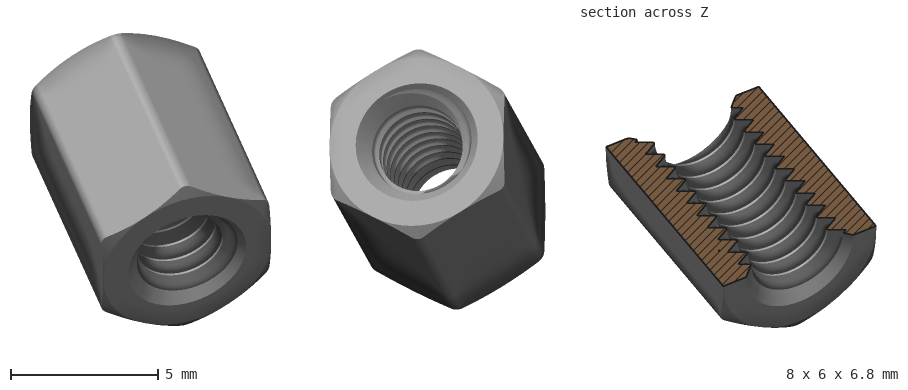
import cadquery as cq
import math

length = 8.0
across_flats = 6.0
corner_radius = 0.4
end_chamfer_angle = 30.0

thread_root_radius = 2.0
pitch_to_radius = 0.35
thread_pitch = pitch_to_radius * thread_root_radius
flank_angle = 30.0
crest_flat = thread_pitch / 8
thread_depth = (thread_pitch - crest_flat) / 2 / math.tan(math.radians(flank_angle))
bore_radius = thread_root_radius - thread_depth
countersink_radius = 2.1
hole_seam_angle = 50.0
cutter_overlap = 0.02


def make_body():
    """Hexagonal bar with rounded long edges and conically chamfered ends."""
    across_corners = across_flats / math.cos(math.radians(30))
    bar = (
        cq.Workplane("YZ")
        .polygon(6, across_corners)
        .extrude(length)
        .edges("|X")
        .fillet(corner_radius)
        .rotate((0, 0, 0), (1, 0, 0), 90)
    )
    flat_radius = across_flats / 2
    outer_radius = across_corners / 2
    chamfer_length = (outer_radius - flat_radius) * math.tan(math.radians(end_chamfer_angle))
    envelope = (
        cq.Workplane("XY")
        .moveTo(0, 0)
        .lineTo(0, flat_radius)
        .lineTo(chamfer_length, outer_radius)
        .lineTo(length - chamfer_length, outer_radius)
        .lineTo(length, flat_radius)
        .lineTo(length, 0)
        .close()
        .revolve(360, (0, 0, 0), (1, 0, 0))
    )
    return bar.intersect(envelope)


def make_hole():
    """Plain bore with a 90 degree countersink at each end."""
    countersink_depth = countersink_radius - bore_radius
    return (
        cq.Workplane("XY")
        .moveTo(0, 0)
        .lineTo(0, countersink_radius)
        .lineTo(countersink_depth, bore_radius)
        .lineTo(length - countersink_depth, bore_radius)
        .lineTo(length, countersink_radius)
        .lineTo(length, 0)
        .close()
        .revolve(360, (0, 0, 0), (1, 0, 0))
        .rotate((0, 0, 0), (1, 0, 0), hole_seam_angle)
    )


def make_thread_cutter():
    """Right-handed V groove that runs out past both ends; its root starts at +Y on the X = 0 face."""
    inner_radius = bore_radius - cutter_overlap
    half_width = (thread_root_radius - inner_radius) * math.tan(math.radians(flank_angle))
    helix = cq.Wire.makeHelix(thread_pitch, length + 2 * thread_pitch, bore_radius)
    groove = (
        cq.Workplane("XZ")
        .moveTo(inner_radius, -half_width)
        .lineTo(thread_root_radius, 0)
        .lineTo(inner_radius, half_width)
        .close()
        .sweep(cq.Workplane(obj=helix), isFrenet=True)
        .translate((0, 0, -thread_pitch))
    )
    return groove.rotate((0, 0, 0), (1, 1, 1), 120)


result = make_body().cut(make_hole()).cut(make_thread_cutter())